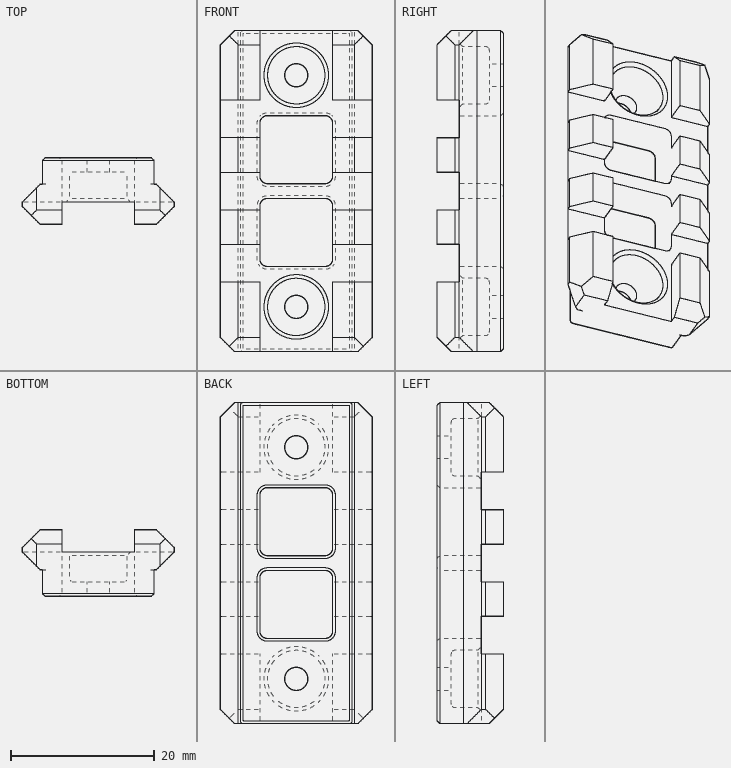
import cadquery as cq

length = 44.8
rail_width = 21.2
depth = 9.3
front_y = -depth / 2
back_y = depth / 2

base_width = 15.6
bevel = 2.5
side_flat = 0.6
tooth_height = bevel + side_flat
floor_y = front_y + tooth_height
ledge_y = floor_y + bevel
base_corner_radius = 0.45
back_chamfer = 0.4

channel_width = 10.1
slot_width = 5.23
slot_pitch = 10.05
end_chamfer = 2.0

screw_offset = 16.15
screw_diameter = 3.2
head_diameter = 8.0
head_depth = 4.2
head_rim_chamfer = 0.5
head_floor_fillet = 0.5

window_height = 9.45
window_bridge = 2.1
window_corner_radius = 1.0
window_offset = (window_bridge + window_height) / 2


def make_base():
    """Rectangular mounting block with softened outer edges."""
    base_depth = back_y - ledge_y
    base = cq.Workplane("XY").box(base_width, base_depth, length)
    base = base.edges("|Y").fillet(base_corner_radius)
    base = base.faces(">Y").chamfer(back_chamfer)
    return base.translate((0, ledge_y + base_depth / 2, 0))


def make_rail():
    """Bevelled rail with its ends chamfered at the front and at both sides."""
    half_width = rail_width / 2
    half_face = half_width - bevel
    half_length = length / 2
    profile = [
        (-half_face, front_y),
        (half_face, front_y),
        (half_width, front_y + bevel),
        (half_width, floor_y),
        (half_face, ledge_y),
        (-half_face, ledge_y),
        (-half_width, floor_y),
        (-half_width, front_y + bevel),
    ]
    rail = cq.Workplane("XY").polyline(profile).close().extrude(half_length, both=True)
    rail_depth = ledge_y - front_y
    envelope = cq.Workplane("XY").box(rail_width, rail_depth, length)
    envelope = envelope.translate((0, front_y + rail_depth / 2, 0))
    side_limit = envelope.edges("|Y").chamfer(end_chamfer)
    front_limit = envelope.edges("<Y and |X").chamfer(end_chamfer)
    return rail.intersect(side_limit).intersect(front_limit)


def front_cut(width, height, z):
    """Block that clears the front down to the floor, centred at height z."""
    block = cq.Workplane("XY").box(width, tooth_height, height)
    return block.translate((0, front_y + tooth_height / 2, z))


def make_screw_hole(z):
    """Through hole with a head recess sunk into the channel floor."""
    plane = cq.Workplane("XZ", origin=(0, floor_y, z))
    shaft = plane.circle(screw_diameter / 2).extrude(floor_y - back_y)
    head = plane.circle(head_diameter / 2).extrude(-head_depth)
    head = head.faces(">Y").edges().fillet(head_floor_fillet)
    rim = (
        plane.circle(head_diameter / 2 + head_rim_chamfer)
        .workplane(offset=-head_rim_chamfer)
        .circle(head_diameter / 2)
        .loft()
    )
    return shaft.union(head).union(rim)


def make_window(z):
    """Rounded window through the full depth, flared by a chamfer at the back."""
    window = cq.Workplane("XY").box(channel_width, depth, window_height)
    window = window.edges("|Y").fillet(window_corner_radius)
    flare = cq.Workplane("XY").box(
        channel_width + 2 * back_chamfer, depth, window_height + 2 * back_chamfer
    )
    flare = flare.edges("|Y").fillet(window_corner_radius + back_chamfer)
    flare = flare.faces("<Y").chamfer(back_chamfer)
    flare = flare.translate((0, depth - back_chamfer, 0))
    return window.union(flare).translate((0, 0, z))


result = make_rail().union(make_base())
result = result.cut(front_cut(channel_width, length, 0))
for slot_z in (-slot_pitch, 0, slot_pitch):
    result = result.cut(front_cut(rail_width, slot_width, slot_z))
for side in (-1, 1):
    result = result.cut(make_window(side * window_offset))
    result = result.cut(make_screw_hole(side * screw_offset))